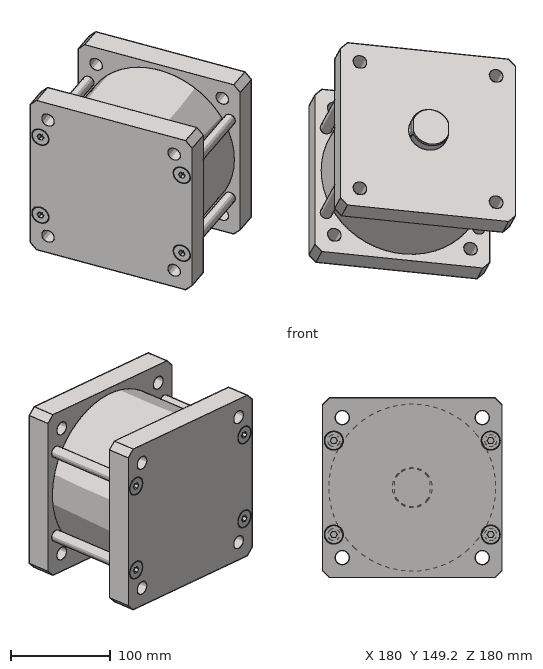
import cadquery as cq

plate_side = 180.0
plate_thickness = 26.0
plate_corner_chamfer = 7.2
plate_gap = 85.0

tube_diameter = 167.0
rod_diameter = 12.0
rod_offset_x = 78.5
rod_offset_z = 47.0

mount_hole_diameter = 13.9
mount_hole_offset = 70.0

recess_diameter = 19.0
head_diameter = 18.0
recess_depth = 10.8
socket_across_corners = 7.0
socket_depth = 5.4

boss_diameter = 40.0
boss_length = 12.2
boss_chamfer_length = 1.6
boss_chamfer_depth = 0.9
flat_distance = 36.0
flat_length = 10.0
flat_ramp = boss_length - flat_length

tube_start_y = plate_thickness
back_plate_y = tube_start_y + plate_gap
boss_start_y = back_plate_y + plate_thickness
boss_end_y = boss_start_y + boss_length

mount_points = [(sx * mount_hole_offset, sz * mount_hole_offset) for sx in (-1, 1) for sz in (-1, 1)]
rod_points = [(sx * rod_offset_x, sz * rod_offset_z) for sx in (-1, 1) for sz in (-1, 1)]


def plane_at(y):
    """XZ sketch plane at the given Y whose normal points toward +Y; local axes are X and -Z."""
    return cq.Workplane(cq.Plane(origin=(0, y, 0), xDir=(1, 0, 0), normal=(0, 1, 0)))


def end_plate(y):
    plate = plane_at(y).rect(plate_side, plate_side).extrude(plate_thickness)
    plate = plate.edges("|Y").chamfer(plate_corner_chamfer)
    holes = plane_at(y).pushPoints(mount_points).circle(mount_hole_diameter / 2).extrude(plate_thickness)
    return plate.cut(holes)


def screw_recesses():
    """Ring gaps around the screw heads plus their hexagon sockets."""
    rings = plane_at(0).pushPoints(rod_points).circle(recess_diameter / 2).circle(head_diameter / 2)
    sockets = plane_at(0).pushPoints(rod_points).polygon(6, socket_across_corners)
    return rings.extrude(recess_depth).union(sockets.extrude(socket_depth))


def wrench_flat(side):
    """Cutter for one flat on the boss, ending in a 45 degree ramp toward the plate."""
    flat_x = side * flat_distance / 2
    outer_x = side * boss_diameter
    flat_end_y = boss_end_y - flat_length
    ramp_x = flat_x + side * flat_ramp
    profile = [
        (flat_x, boss_end_y),
        (flat_x, flat_end_y),
        (ramp_x, flat_end_y - flat_ramp),
        (outer_x, flat_end_y - flat_ramp),
        (outer_x, boss_end_y),
    ]
    return cq.Workplane("XY").polyline(profile).close().extrude(boss_diameter / 2, both=True)


def rod_end():
    boss = plane_at(boss_start_y).circle(boss_diameter / 2).extrude(boss_length)
    boss = boss.faces(">Y").edges().chamfer(boss_chamfer_length, boss_chamfer_depth)
    for side in (-1, 1):
        boss = boss.cut(wrench_flat(side))
    return boss


tube = plane_at(tube_start_y).circle(tube_diameter / 2).extrude(plate_gap)
rods = plane_at(tube_start_y).pushPoints(rod_points).circle(rod_diameter / 2).extrude(plate_gap)

front_plate = end_plate(0).cut(screw_recesses())
back_plate = end_plate(back_plate_y)
result = front_plate.union(tube).union(rods).union(back_plate).union(rod_end())

result = result.translate((0, -boss_end_y / 2, 0))